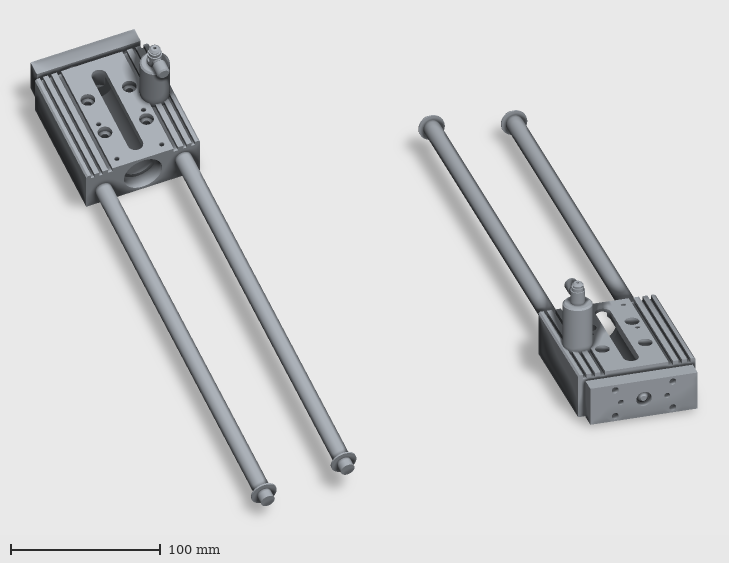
import cadquery as cq
OVERALL_LENGTH = 395

HOUSING_START = 16.0
HOUSING_LENGTH = 90.0
HOUSING_WIDTH = 82.0
HOUSING_HEIGHT = 32.0
HOUSING_END = HOUSING_START + HOUSING_LENGTH
MID_HEIGHT = HOUSING_HEIGHT / 2
TOP_EDGE_CHAMFER = 1.0

GROOVE_DEPTH = 3.0
GROOVE_SPANS = [(22.0, 25.3), (29.2, 31.5), (35.0, 37.5)]

SLOT_START = 24.5
SLOT_END = 98.0
SLOT_WIDTH = 10.5
BORE_START = 27.0
BORE_DIAMETER = 22.0
BORE_MOUTH_START = 96.5
BORE_MOUTH_DIAMETER = 27.5

MOUNT_HOLE_OFFSETS = [29.5, 59.5]
MOUNT_HOLE_Y = 15.0
MOUNT_HOLE_DIAMETER = 5.0
COUNTERBORE_DIAMETER = 10.0
COUNTERBORE_DEPTH = 4.7

SMALL_HOLE_OFFSETS = [51.5, 83.5]
SMALL_HOLE_Y = 16.0
SMALL_HOLE_DIAMETER = 3.25
SMALL_HOLE_MOUTH_DIAMETER = 4
SMALL_HOLE_DEPTH = 6.0

ROD_Y = 29.0
ROD_DIAMETER = 12
ROD_HEIGHT_OFFSET = 2.95
ROD_CENTRES = [(ROD_Y, MID_HEIGHT + ROD_HEIGHT_OFFSET), (-ROD_Y, MID_HEIGHT - ROD_HEIGHT_OFFSET)]
ROD_TIP_DIAMETER = 10.0
RING_START = 387
RING_THICKNESS = 1.0
RING_DIAMETER = 18.0

UNIT_X = 57.0
UNIT_DIAMETER = 20.0
UNIT_TOP = 64.5
UNIT_CHAMFER = 1.0
STEM_DIAMETER = 10.0
STEM_TOP = 74.0
COLLAR_DIAMETER = 8.3
COLLAR_TOP = 76.2
NECK_DIAMETER = 6.5
NECK_TOP = 78.0
CAP_DIAMETER = 8
CAP_TOP = 79.5
CAP_CHAMFER = 1.4
CAP_HOLE_DIAMETER = 2.15
CAP_HOLE_DEPTH = 2.5
PORT_HEIGHT = 70.0
PORT_START = UNIT_X + 6.5
PORT_END = UNIT_X + 16.0
PORT_DIAMETER = 9.0
PORT_CHAMFER = 1.0
SOCKET_DIAMETER = 4
SOCKET_DEPTH = 3.0

YOKE_THICKNESS = 11.0
YOKE_WIDTH = 75
YOKE_BOTTOM = 2.5
YOKE_HEIGHT = 27.5
YOKE_CORNER_HOLE_Y = 20.0
YOKE_CORNER_HOLE_RISE = 10.0
YOKE_CORNER_HOLE_DIAMETER = 4.7
YOKE_SIDE_HOLE_Y = 16.0
YOKE_SIDE_HOLE_DIAMETER = 4
YOKE_HOLE_DEPTH = 6.0
RECESS_DIAMETER = 10.5
RECESS_DEPTH = 4
STUD_DIAMETER = 8.5
STUD_TIP_DIAMETER = 4
STUD_HEIGHT = 3.0

BUMPER_DIAMETER = 10.0
BUMPER_FLANGE_DIAMETER = 10.5
BUMPER_TIP_DIAMETER = 6.5
BUMPER_FLANGE_START = 1.78
BUMPER_FLANGE_THICKNESS = 0.5
STOP_PIN_Y = -12.5
STOP_PIN_HEIGHT = 22.0
STOP_PIN_DIAMETER = 8.3


def x_cylinder(start, end, y, z, diameter):
    """Cylinder along X between two X positions."""
    return cq.Workplane("YZ", origin=(start, y, z)).circle(diameter / 2).extrude(end - start)


def z_cylinder(bottom, top, x, y, diameter):
    """Cylinder along Z between two heights."""
    return cq.Workplane("XY", origin=(x, y, bottom)).circle(diameter / 2).extrude(top - bottom)


def make_housing_block():
    block = (
        cq.Workplane("XY", origin=(HOUSING_START, 0, 0))
        .box(HOUSING_LENGTH, HOUSING_WIDTH, HOUSING_HEIGHT, centered=(False, True, False))
        .faces(">Z")
        .edges("|X")
        .chamfer(TOP_EDGE_CHAMFER)
    )
    for inner, outer in GROOVE_SPANS:
        for side in (1, -1):
            groove_y = side * (inner + outer) / 2
            groove = cq.Workplane("XY", origin=(HOUSING_START, groove_y, HOUSING_HEIGHT - GROOVE_DEPTH)).box(
                HOUSING_LENGTH, outer - inner, GROOVE_DEPTH, centered=(False, True, False)
            )
            block = block.cut(groove)
    return block


def cut_slot_and_bore(block):
    slot = (
        cq.Workplane("XY", origin=((SLOT_START + SLOT_END) / 2, 0, MID_HEIGHT))
        .slot2D(SLOT_END - SLOT_START, SLOT_WIDTH)
        .extrude(HOUSING_HEIGHT - MID_HEIGHT)
    )
    bore = x_cylinder(BORE_START, HOUSING_END, 0, MID_HEIGHT, BORE_DIAMETER)
    bore_mouth = x_cylinder(BORE_MOUTH_START, HOUSING_END, 0, MID_HEIGHT, BORE_MOUTH_DIAMETER)
    return block.cut(slot).cut(bore).cut(bore_mouth)


def hole_grid(offsets, y):
    """Mirrored pairs of hole positions at each offset from the housing's front face."""
    return [(HOUSING_START + offset, side * y) for offset in offsets for side in (1, -1)]


def make_small_hole_mouth(x, y):
    """45 degree countersink that widens the top of a small hole."""
    mouth_depth = (SMALL_HOLE_MOUTH_DIAMETER - SMALL_HOLE_DIAMETER) / 2
    return (
        cq.Workplane("XY", origin=(x, y, HOUSING_HEIGHT))
        .circle(SMALL_HOLE_MOUTH_DIAMETER / 2)
        .workplane(offset=-mouth_depth)
        .circle(SMALL_HOLE_DIAMETER / 2)
        .loft()
    )


def cut_top_holes(block):
    top = cq.Workplane("XY", origin=(0, 0, HOUSING_HEIGHT))
    through_holes = (
        top.pushPoints(hole_grid(MOUNT_HOLE_OFFSETS, MOUNT_HOLE_Y))
        .circle(MOUNT_HOLE_DIAMETER / 2)
        .extrude(-HOUSING_HEIGHT)
    )
    counterbores = (
        top.pushPoints(hole_grid(MOUNT_HOLE_OFFSETS, MOUNT_HOLE_Y))
        .circle(COUNTERBORE_DIAMETER / 2)
        .extrude(-COUNTERBORE_DEPTH)
    )
    small_holes = (
        top.pushPoints(hole_grid(SMALL_HOLE_OFFSETS, SMALL_HOLE_Y))
        .circle(SMALL_HOLE_DIAMETER / 2)
        .extrude(-SMALL_HOLE_DEPTH)
    )
    block = block.cut(through_holes).cut(counterbores).cut(small_holes)
    for x, y in hole_grid(SMALL_HOLE_OFFSETS, SMALL_HOLE_Y):
        block = block.cut(make_small_hole_mouth(x, y))
    return block


def make_air_unit():
    """Upright cylinder with a stem, a stepped top and a side port toward +X."""
    unit_bottom = HOUSING_HEIGHT - GROOVE_DEPTH
    unit = z_cylinder(unit_bottom, UNIT_TOP, UNIT_X, ROD_Y, UNIT_DIAMETER).faces(">Z").chamfer(UNIT_CHAMFER)
    stem = z_cylinder(UNIT_TOP, STEM_TOP, UNIT_X, ROD_Y, STEM_DIAMETER)
    collar = z_cylinder(STEM_TOP, COLLAR_TOP, UNIT_X, ROD_Y, COLLAR_DIAMETER)
    neck = z_cylinder(COLLAR_TOP, NECK_TOP, UNIT_X, ROD_Y, NECK_DIAMETER)
    cap = z_cylinder(NECK_TOP, CAP_TOP, UNIT_X, ROD_Y, CAP_DIAMETER).faces(">Z").chamfer(CAP_CHAMFER)
    port_neck = x_cylinder(UNIT_X, PORT_START, ROD_Y, PORT_HEIGHT, NECK_DIAMETER)
    port = x_cylinder(PORT_START, PORT_END, ROD_Y, PORT_HEIGHT, PORT_DIAMETER).edges().chamfer(PORT_CHAMFER)
    stem_front = ROD_Y - STEM_DIAMETER / 2
    socket = (
        cq.Workplane("XZ", origin=(UNIT_X, stem_front + SOCKET_DEPTH, PORT_HEIGHT))
        .circle(SOCKET_DIAMETER / 2)
        .extrude(STEM_DIAMETER)
    )
    for piece in (stem.cut(socket), collar, neck, cap, port_neck.union(port)):
        unit = unit.union(piece)
    return unit.cut(z_cylinder(CAP_TOP - CAP_HOLE_DEPTH, CAP_TOP, UNIT_X, ROD_Y, CAP_HOLE_DIAMETER))


def make_housing():
    block = cut_top_holes(cut_slot_and_bore(make_housing_block()))
    for y, z in ROD_CENTRES:
        block = block.cut(x_cylinder(HOUSING_START, HOUSING_END, y, z, ROD_DIAMETER))
    return block.union(make_air_unit())


def make_yoke_plate():
    plate = cq.Workplane("XY", origin=(0, 0, YOKE_BOTTOM)).box(
        YOKE_THICKNESS, YOKE_WIDTH, YOKE_HEIGHT, centered=(False, True, False)
    )
    for side in (1, -1):
        for rise in (YOKE_CORNER_HOLE_RISE, -YOKE_CORNER_HOLE_RISE):
            corner_hole = x_cylinder(
                0, YOKE_HOLE_DEPTH, side * YOKE_CORNER_HOLE_Y, MID_HEIGHT + rise, YOKE_CORNER_HOLE_DIAMETER
            )
            plate = plate.cut(corner_hole)
        side_hole = x_cylinder(
            0, YOKE_HOLE_DEPTH, side * YOKE_SIDE_HOLE_Y, MID_HEIGHT, YOKE_SIDE_HOLE_DIAMETER
        )
        plate = plate.cut(side_hole)
    return plate


def add_centre_screw(plate):
    """Round recess in the front face with a tapered stud standing in it."""
    recess = x_cylinder(0, RECESS_DEPTH, 0, MID_HEIGHT, RECESS_DIAMETER)
    stud = (
        cq.Workplane("YZ", origin=(RECESS_DEPTH, 0, MID_HEIGHT))
        .circle(STUD_DIAMETER / 2)
        .workplane(offset=-STUD_HEIGHT)
        .circle(STUD_TIP_DIAMETER / 2)
        .loft()
    )
    return plate.cut(recess).union(stud)


def make_bumper():
    flange_start = YOKE_THICKNESS + BUMPER_FLANGE_START
    flange_end = flange_start + BUMPER_FLANGE_THICKNESS
    base = x_cylinder(YOKE_THICKNESS, flange_start, 0, MID_HEIGHT, BUMPER_DIAMETER)
    flange = x_cylinder(flange_start, flange_end, 0, MID_HEIGHT, BUMPER_FLANGE_DIAMETER)
    tip = x_cylinder(flange_end, HOUSING_START, 0, MID_HEIGHT, BUMPER_TIP_DIAMETER)
    return base.union(flange).union(tip)


def make_guide_rod(y, z):
    rod = x_cylinder(YOKE_THICKNESS, RING_START, y, z, ROD_DIAMETER)
    ring = x_cylinder(RING_START, RING_START + RING_THICKNESS, y, z, RING_DIAMETER)
    tip = x_cylinder(RING_START, OVERALL_LENGTH, y, z, ROD_TIP_DIAMETER)
    return rod.union(ring).union(tip)


def make_yoke():
    """Moving yoke: the plate, both guide rods and the parts that face the housing."""
    yoke = add_centre_screw(make_yoke_plate())
    for y, z in ROD_CENTRES:
        yoke = yoke.union(make_guide_rod(y, z))
    stop_pin = x_cylinder(YOKE_THICKNESS, HOUSING_START, STOP_PIN_Y, STOP_PIN_HEIGHT, STOP_PIN_DIAMETER)
    return yoke.union(make_bumper()).union(stop_pin)


housing = make_housing()
yoke = make_yoke()

result = cq.Compound.makeCompound([housing.val(), yoke.val()])